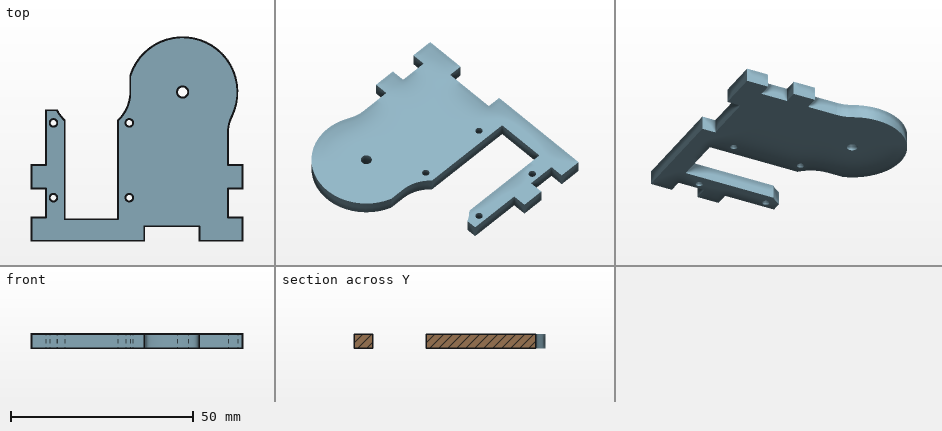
import cadquery as cq
import math

width = 57.8
thickness = 4.0
tab_depth = thickness
body_left = tab_depth
body_right = width - tab_depth
arm_top = 35.85

tab_height = 6.5
upper_tab_bottom = 14.35

notch_left = 30.9
notch_width = 15.0

head_x = 41.4
head_y = 40.75
head_radius = 15.0
head_hole_diameter = 3.0
blend_radius = 10.0

slot_center_x = 16.4
slot_width = 14.5
slot_bottom = 6.0
clearance_radius = 10.65

mount_hole_diameter = 2.0
mount_spacing_x = 20.75
mount_spacing_y = 20.45
mount_center_y = 22.1


def box(left, bottom, size_x, size_y):
    """Full-thickness block placed by its lower-left corner."""
    return cq.Workplane("XY").box(size_x, size_y, thickness, centered=False).translate((left, bottom, 0))


def disc(x, y, radius):
    """Full-thickness cylinder."""
    return cq.Workplane("XY").center(x, y).circle(radius).extrude(thickness)


def head_blend():
    """Web under the right of the head, bounded by an arc tangent to the head and to the right edge."""
    center_x = body_right + blend_radius
    center_distance = head_radius + blend_radius
    angle = math.acos((center_x - head_x) / center_distance)
    center_y = head_y - center_distance * math.sin(angle)
    head_tangent = (head_x + head_radius * math.cos(angle), head_y - head_radius * math.sin(angle))
    arc_middle = (
        center_x - blend_radius * math.cos(angle / 2),
        center_y + blend_radius * math.sin(angle / 2),
    )
    return (
        cq.Workplane("XY")
        .moveTo(head_x, head_y)
        .lineTo(*head_tangent)
        .threePointArc(arc_middle, (body_right, center_y))
        .lineTo(body_right, 0)
        .lineTo(head_x, 0)
        .close()
        .extrude(thickness)
    )


plate = box(body_left, 0, head_x - body_left, arm_top)
plate = plate.union(box(slot_center_x, 0, head_x - slot_center_x, head_y))
plate = plate.union(head_blend())

head_left = slot_center_x + clearance_radius
head = disc(head_x, head_y, head_radius)
head = head.intersect(box(head_left, 0, width, head_y + head_radius))
plate = plate.union(head)

for tab_bottom in (0, upper_tab_bottom):
    plate = plate.union(box(0, tab_bottom, width, tab_height))

plate = plate.cut(box(slot_center_x - slot_width / 2, slot_bottom, slot_width, head_y - slot_bottom))
plate = plate.cut(disc(slot_center_x, head_y, clearance_radius))
plate = plate.cut(box(notch_left, 0, notch_width, tab_depth))

plate = plate.cut(disc(head_x, head_y, head_hole_diameter / 2))
for side_x in (-1, 1):
    for side_y in (-1, 1):
        hole_x = slot_center_x + side_x * mount_spacing_x / 2
        hole_y = mount_center_y + side_y * mount_spacing_y / 2
        plate = plate.cut(disc(hole_x, hole_y, mount_hole_diameter / 2))

result = plate.clean()